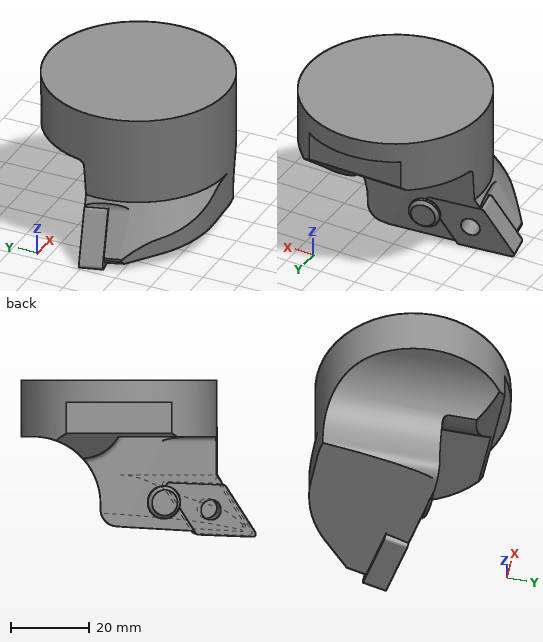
import cadquery as cq
import math

SHANK_DIA = 50.0
SHANK_R = SHANK_DIA / 2
BODY_DEPTH = 44.9
FLARE_START_Z = -24.05
FLARE_SLOPE = 0.63

JAW_FLAT_LENGTH = 7.8
JAW_ARC_R = 22.3
JAW_ARC_ANGLE = math.radians(47)
JAW_TIP_X = -31.4
JAW_BACK_Y = 12.0

SCOOP_R = 17.05
SCOOP_TOP_Z = -14.4
SCOOP_WALL_X = 4.8
HEEL_R = 4.5
HEEL_BOTTOM_Z = -37.35

UNDERSIDE_Z = -36.75
UNDERSIDE_SLOPE_X = 0.075
UNDERSIDE_SLOPE_Y = -0.104

BACK_FLAT_Y = 21.1
BACK_FLAT_TOP_Z = -5.55
BEVEL_TOP_Z = -13.55
POCKET_WALL_Y = 6.0
POCKET_TOP_Z = -14.35
POCKET_END_R = 10.8
POCKET_END_X = 9.6
POCKET_END_DROP = 5.55
POCKET_CORNER_R = 1.5

INSERT_EDGE = 16.0
INSERT_ANGLE = math.radians(54.5)
INSERT_THICKNESS = 6.35
INSERT_CORNER_R = 0.8
INSERT_HOLE_DIA = 5.15
INSERT_TIP = (-35.55, 0.1, -40.05)
RAKE_NORMAL = cq.Vector(-0.164, 0.983, -0.07)
EDGE_RUN_X = 0.53
EDGE_RISE_Z = 0.83
SEAT_INSET = 0.55
SEAT_NOSE_X = 3.3
SEAT_NOSE_WIDTH = 1.8
SEAT_RUNOUT = 2.4

CLAMP_DIA = 8.4
CLAMP_HEIGHT = 1.7
CLAMP_CHAMFER = 0.9
CLAMP_X = -11.4
CLAMP_Z = -31.15

FAR = 119.75


def rake_plane():
    """Plane of the insert top: local X runs up the outer cutting edge."""
    edge_y = -(RAKE_NORMAL.x * EDGE_RUN_X + RAKE_NORMAL.z * EDGE_RISE_Z) / RAKE_NORMAL.y
    edge = cq.Vector(EDGE_RUN_X, edge_y, EDGE_RISE_Z)
    return cq.Plane(origin=INSERT_TIP, xDir=edge, normal=RAKE_NORMAL)


RAKE = rake_plane()


def insert_blank():
    side_x = INSERT_EDGE * math.cos(INSERT_ANGLE)
    side_y = INSERT_EDGE * math.sin(INSERT_ANGLE)
    corners = [(0, 0), (INSERT_EDGE, 0), (INSERT_EDGE + side_x, side_y), (side_x, side_y)]
    blank = cq.Workplane(RAKE).polyline(corners).close().extrude(-INSERT_THICKNESS)
    return blank.edges(cq.selectors.ParallelDirSelector(RAKE_NORMAL)).fillet(INSERT_CORNER_R)


def make_insert():
    middle_x = INSERT_EDGE * (1 + math.cos(INSERT_ANGLE)) / 2
    middle_y = INSERT_EDGE * math.sin(INSERT_ANGLE) / 2
    hole = (
        cq.Workplane(RAKE).center(middle_x, middle_y)
        .circle(INSERT_HOLE_DIA / 2).extrude(-INSERT_THICKNESS)
    )
    return insert_blank().cut(hole)


def flared_jaw():
    """Cone below the shank, trimmed to the plan outline of the jaw."""
    arc_end_x = -JAW_FLAT_LENGTH - JAW_ARC_R * math.sin(JAW_ARC_ANGLE)
    arc_end_y = -SHANK_R + JAW_ARC_R * (1 - math.cos(JAW_ARC_ANGLE))
    half = JAW_ARC_ANGLE / 2
    arc_mid_x = -JAW_FLAT_LENGTH - JAW_ARC_R * math.sin(half)
    arc_mid_y = -SHANK_R + JAW_ARC_R * (1 - math.cos(half))
    tip_y = arc_end_y + (arc_end_x - JAW_TIP_X) * math.tan(JAW_ARC_ANGLE)
    back_x = JAW_TIP_X + (JAW_BACK_Y - tip_y) * RAKE_NORMAL.x / RAKE_NORMAL.y
    outline = (
        cq.Workplane("XY").moveTo(0, -SHANK_R)
        .lineTo(-JAW_FLAT_LENGTH, -SHANK_R)
        .threePointArc((arc_mid_x, arc_mid_y), (arc_end_x, arc_end_y))
        .lineTo(JAW_TIP_X, tip_y)
        .lineTo(back_x, JAW_BACK_Y)
        .lineTo(0, JAW_BACK_Y)
        .close().extrude(-BODY_DEPTH)
    )
    cone_r = SHANK_R + FLARE_SLOPE * (BODY_DEPTH + FLARE_START_Z)
    cone = (
        cq.Workplane("XZ").moveTo(0, FLARE_START_Z)
        .lineTo(SHANK_R, FLARE_START_Z)
        .lineTo(cone_r, -BODY_DEPTH)
        .lineTo(0, -BODY_DEPTH)
        .close().revolve(360, (0, 0, 0), (0, 1, 0))
    )
    return cone.intersect(outline)


def side_profile():
    """Material kept in the XZ plane: scoop and rounded heel on the +X side."""
    scoop_x = SCOOP_WALL_X + SCOOP_R
    scoop_z = SCOOP_TOP_Z - SCOOP_R
    heel_x = SCOOP_WALL_X - HEEL_R
    heel_z = HEEL_BOTTOM_Z + HEEL_R
    diagonal = math.sqrt(0.5)
    return (
        cq.Workplane("XZ").moveTo(-FAR, 0).lineTo(FAR, 0)
        .lineTo(FAR, SCOOP_TOP_Z).lineTo(scoop_x, SCOOP_TOP_Z)
        .threePointArc(
            (scoop_x - SCOOP_R * diagonal, scoop_z + SCOOP_R * diagonal),
            (SCOOP_WALL_X, scoop_z),
        )
        .lineTo(SCOOP_WALL_X, heel_z)
        .threePointArc(
            (heel_x + HEEL_R * diagonal, heel_z - HEEL_R * diagonal),
            (heel_x, HEEL_BOTTOM_Z),
        )
        .lineTo(heel_x, -FAR).lineTo(-FAR, -FAR)
        .close().extrude(FAR, both=True)
    )


def below_underside():
    normal = (UNDERSIDE_SLOPE_X, UNDERSIDE_SLOPE_Y, -1)
    plane = cq.Plane(origin=(0, 0, UNDERSIDE_Z), xDir=(1, 0, UNDERSIDE_SLOPE_X), normal=normal)
    return cq.Workplane(plane).rect(FAR, FAR).extrude(FAR)


def back_cut():
    """Flat on the +Y side and the 45 degree bevel below it."""
    bevel_drop = BACK_FLAT_Y - POCKET_WALL_Y
    return (
        cq.Workplane("YZ").moveTo(BACK_FLAT_Y, BACK_FLAT_TOP_Z)
        .lineTo(FAR, BACK_FLAT_TOP_Z)
        .lineTo(FAR, BEVEL_TOP_Z - bevel_drop)
        .lineTo(POCKET_WALL_Y, BEVEL_TOP_Z - bevel_drop)
        .lineTo(BACK_FLAT_Y, BEVEL_TOP_Z)
        .close().extrude(FAR, both=True)
    )


def chip_pocket():
    """Space behind the pocket wall, open towards -X, +Y and -Z."""
    end_angle = math.acos(1 - POCKET_END_DROP / POCKET_END_R)
    end_z = POCKET_TOP_Z - POCKET_END_DROP
    start_x = POCKET_END_X - POCKET_END_R * math.sin(end_angle)
    middle_x = POCKET_END_X - POCKET_END_R * math.sin(end_angle / 2)
    middle_z = end_z + POCKET_END_R * (1 - math.cos(end_angle / 2))
    pocket = (
        cq.Workplane("XZ", origin=(0, POCKET_WALL_Y, 0)).moveTo(-FAR, POCKET_TOP_Z)
        .lineTo(start_x, POCKET_TOP_Z)
        .threePointArc((middle_x, middle_z), (POCKET_END_X, end_z))
        .lineTo(FAR, end_z)
        .lineTo(FAR, -FAR).lineTo(-FAR, -FAR)
        .close().extrude(-FAR)
    )
    end_edge = cq.selectors.NearestToPointSelector((middle_x, POCKET_WALL_Y, middle_z))
    return pocket.edges(end_edge).fillet(POCKET_CORNER_R)


def rake_cut():
    """Everything above the rake plane, below the pocket ceiling."""
    above = cq.Workplane(RAKE).rect(FAR, FAR).extrude(FAR)
    ceiling = cq.Workplane("XY", origin=(0, 0, POCKET_TOP_Z)).rect(FAR, FAR).extrude(-FAR)
    in_front = cq.Workplane("XZ", origin=(0, POCKET_WALL_Y, 0)).rect(FAR, FAR).extrude(FAR)
    cutter = above.intersect(ceiling).faces(">Z").edges("<Y").fillet(POCKET_CORNER_R)
    return cutter.intersect(in_front)


def seat_relief():
    """Flat beside the insert seat, with a bevelled nose and a concave runout."""
    nose_end_x = SEAT_NOSE_X - SEAT_NOSE_WIDTH * math.tan(INSERT_ANGLE / 2)
    nose_end_y = SEAT_INSET + SEAT_NOSE_WIDTH
    diagonal = SEAT_RUNOUT * math.sqrt(0.5)
    runout_y = SEAT_INSET - SEAT_RUNOUT
    return (
        cq.Workplane(RAKE).moveTo(-INSERT_EDGE, nose_end_y)
        .lineTo(nose_end_x, nose_end_y)
        .lineTo(SEAT_NOSE_X, SEAT_INSET)
        .lineTo(INSERT_EDGE, SEAT_INSET)
        .threePointArc(
            (INSERT_EDGE + diagonal, runout_y + diagonal),
            (INSERT_EDGE + SEAT_RUNOUT, runout_y),
        )
        .lineTo(INSERT_EDGE + SEAT_RUNOUT, -INSERT_EDGE)
        .lineTo(-INSERT_EDGE, -INSERT_EDGE)
        .close().extrude(-INSERT_EDGE)
    )


def clamp_head():
    tip_x, tip_y, tip_z = INSERT_TIP
    run = RAKE_NORMAL.x * (CLAMP_X - tip_x) + RAKE_NORMAL.z * (CLAMP_Z - tip_z)
    plane = cq.Plane(
        origin=(CLAMP_X, tip_y - run / RAKE_NORMAL.y, CLAMP_Z),
        xDir=RAKE.xDir, normal=RAKE_NORMAL,
    )
    head = cq.Workplane(plane).circle(CLAMP_DIA / 2).extrude(CLAMP_HEIGHT)
    return head.faces(cq.selectors.DirectionMinMaxSelector(RAKE_NORMAL)).chamfer(CLAMP_CHAMFER)


def make_holder():
    shank = cq.Workplane("XY").circle(SHANK_R).extrude(-BODY_DEPTH)
    holder = shank.union(flared_jaw()).intersect(side_profile())
    for cutter in (below_underside(), back_cut(), chip_pocket(), rake_cut(), seat_relief()):
        holder = holder.cut(cutter)
    return holder.union(clamp_head()).cut(insert_blank())


holder = make_holder()
insert = make_insert()
result = cq.Compound.makeCompound([holder.val(), insert.val()])